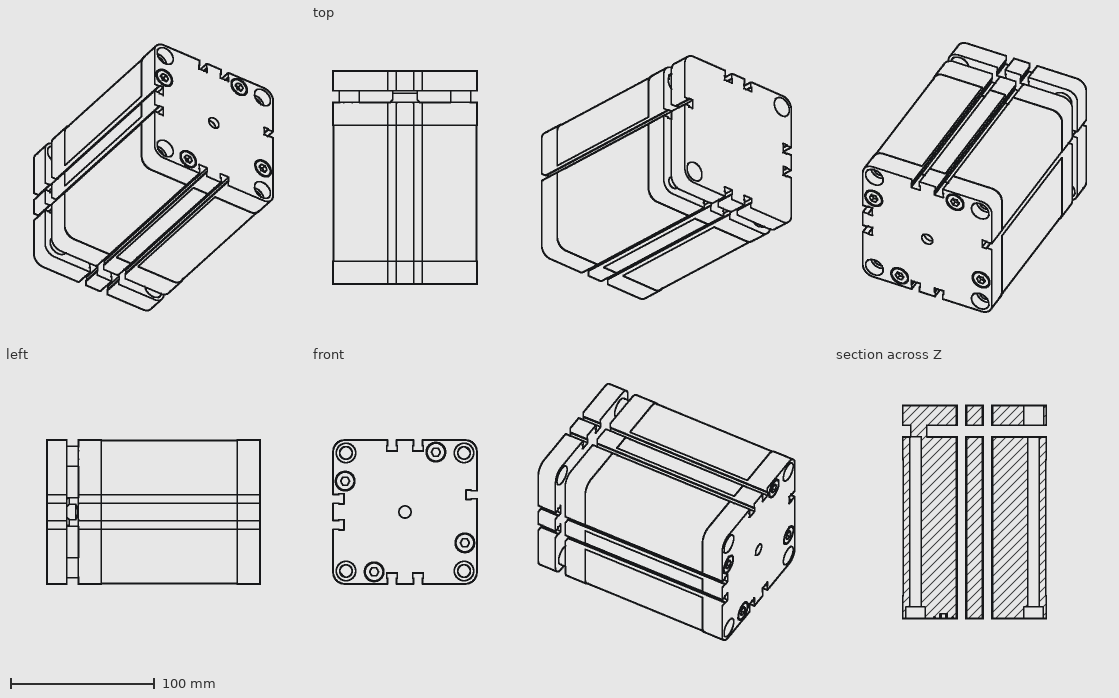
import cadquery as cq

width = 100.0
length = 148.0
plate_thickness = 13.9
gap = 7.8
cap_length = 16.0
corner_radius = 8.0
seam_inset = 0.3

half_width = width / 2
front_y = -length / 2
plate_y = length / 2 - plate_thickness
body_end_y = plate_y - gap
body_length = body_end_y - front_y
tube_start_y = front_y + cap_length
rear_cap_y = body_end_y - cap_length
tube_length = body_length - 2 * cap_length

slot_mouth = 5.9
slot_inner = 7.0
slot_lip = 4.1
slot_depth = 7.5
slot_rounding = 0.3
slot_offset = 9.0
single_slot_mouth = 5.3
single_slot_inner = 6.5
single_slot_offset = 12.0

mount_pitch = 82.0
mount_diameter = 8.6
mount_bore_diameter = 13.5
mount_bore_depth = 8.1
plate_bore_diameter = 14.0

screw_near = 21.5
screw_far = 41.6
screw_recess_diameter = 13.5
screw_head_diameter = 12.5
screw_groove_depth = 1.0
socket_flats = 5.5
socket_turn = 30
socket_depth = 3.3

rod_diameter = 20.0
rod_flats = 17.0
rod_runout = 1.8
rod_chamfer_length = 1.5
rod_chamfer_depth = 0.67
guide_diameter = 14.0
guide_offset = 38.8
centre_diameter = 8.5
centre_depth = 4.0

mount_offset = mount_pitch / 2


def sketch_plane(y):
    """XZ workplane at the given y; positive extrusions go toward -Y."""
    return cq.Workplane("XZ", origin=(0, y, 0))


def block(y_start, depth, size):
    """Square block with rounded corners, from y_start toward +Y."""
    body = sketch_plane(y_start).rect(size, size).extrude(-depth)
    return body.edges("|Y").fillet(corner_radius)


def cylinder(x, z, diameter, y_start, depth):
    """Round bar along Y, from y_start toward +Y."""
    return sketch_plane(y_start).center(x, z).circle(diameter / 2).extrude(-depth)


def slot_cutter(mouth, inner, depth, y_start, run):
    """T-slot cutter in the middle of the +Z side, from y_start toward +Y."""
    pocket_height = depth - slot_lip
    pocket_z = half_width - (depth + slot_lip) / 2
    pocket = sketch_plane(y_start).center(0, pocket_z).rect(inner, pocket_height).extrude(-run)
    neck_z = half_width - slot_lip / 2
    neck = sketch_plane(y_start).center(0, neck_z).rect(mouth, slot_lip).extrude(-run)
    return pocket.union(neck)


def mouth_flare(mouth, y_start, run):
    """Cutter that rounds both outer edges of a slot mouth."""
    edge_x = mouth / 2
    outer_x = edge_x + slot_rounding
    low_z = half_width - slot_rounding
    return (
        sketch_plane(y_start)
        .moveTo(-edge_x, low_z)
        .radiusArc((-outer_x, half_width), -slot_rounding)
        .lineTo(outer_x, half_width)
        .radiusArc((edge_x, low_z), -slot_rounding)
        .close()
        .extrude(-run)
    )


def t_slot(offset, mouth, inner, turn):
    """Slot along the whole part, turned about Y onto its own side.

    The mouth edges are rounded in the caps and the plate, and sharp in the tube,
    where the slot floor is slightly deeper.
    """
    slot = slot_cutter(mouth, inner, slot_depth, front_y, length)
    slot = slot.union(slot_cutter(mouth, inner, slot_depth + seam_inset, tube_start_y, tube_length))
    slot = slot.union(mouth_flare(mouth, front_y, cap_length))
    slot = slot.union(mouth_flare(mouth, rear_cap_y, length / 2 - rear_cap_y))
    return slot.translate((offset, 0, 0)).rotate((0, 0, 0), (0, 1, 0), turn)


def piston_rod():
    """Rod across the gap with a chamfered tip and two wrench flats facing +X and -X."""
    radius = rod_diameter / 2
    rod = (
        cq.Workplane("XY")
        .moveTo(0, body_end_y)
        .lineTo(radius, body_end_y)
        .lineTo(radius, plate_y - rod_chamfer_length)
        .lineTo(radius - rod_chamfer_depth, plate_y)
        .lineTo(0, plate_y)
        .close()
        .revolve(360, (0, 0, 0), (0, 1, 0))
    )
    flats = (
        cq.Workplane("XY", origin=(0, 0, -radius))
        .moveTo(rod_flats / 2, plate_y)
        .lineTo(rod_flats / 2, body_end_y + rod_runout)
        .lineTo(rod_flats / 2 + rod_runout, body_end_y)
        .lineTo(rod_diameter, body_end_y)
        .lineTo(rod_diameter, plate_y)
        .close()
        .extrude(rod_diameter)
    )
    return rod.cut(flats).cut(flats.mirror("YZ"))


def cap_screw(x, z):
    """Cutter for the ring groove around a flush screw head and its hexagon socket."""
    groove = cylinder(x, z, screw_recess_diameter, front_y, screw_groove_depth)
    groove = groove.cut(cylinder(x, z, screw_head_diameter, front_y, screw_groove_depth))
    socket = (
        sketch_plane(front_y)
        .center(x, z)
        .transformed(rotate=(0, 0, socket_turn))
        .polygon(6, socket_flats, circumscribed=True)
        .extrude(-socket_depth)
    )
    return groove.union(socket)


result = block(front_y, cap_length, width)
result = result.union(block(tube_start_y, tube_length, width - 2 * seam_inset))
result = result.union(block(rear_cap_y, cap_length, width))
plate = block(plate_y, plate_thickness, width)

for x in (-mount_offset, mount_offset):
    for z in (-mount_offset, mount_offset):
        result = result.cut(cylinder(x, z, mount_bore_diameter, front_y, mount_bore_depth))
        result = result.cut(cylinder(x, z, mount_diameter, front_y, body_length))
        if x * z < 0:
            plate = plate.cut(cylinder(x, z, plate_bore_diameter, plate_y, plate_thickness))

result = result.union(plate).union(piston_rod())
for offset in (-guide_offset, guide_offset):
    result = result.union(cylinder(offset, offset, guide_diameter, body_end_y, gap))

for turn in (0, 180, 270):
    for offset in (-slot_offset, slot_offset):
        result = result.cut(t_slot(offset, slot_mouth, slot_inner, turn))
result = result.cut(t_slot(-single_slot_offset, single_slot_mouth, single_slot_inner, 90))

for x, z in (
    (screw_near, screw_far),
    (screw_far, -screw_near),
    (-screw_near, -screw_far),
    (-screw_far, screw_near),
):
    result = result.cut(cap_screw(x, z))
result = result.cut(cylinder(0, 0, centre_diameter, front_y, centre_depth))